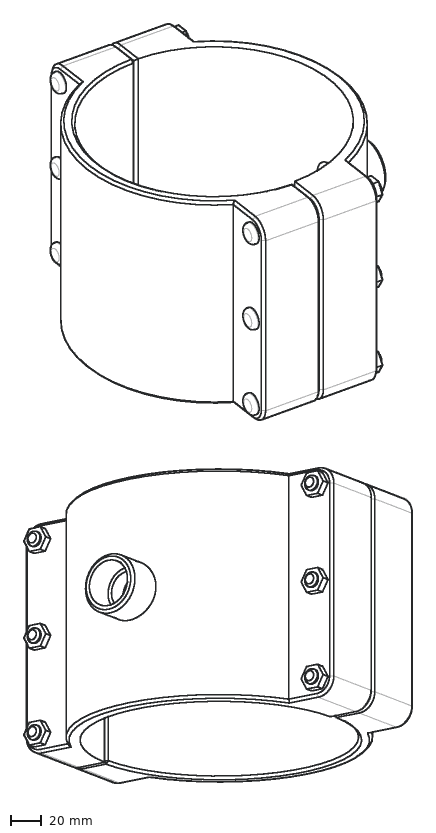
import cadquery as cq
import math

height = 154.0
ring_radius = 99.0
bore_radius = 90.0

half_width = 122.5
lug_depth = 45.0
lug_corner_radius = 12.2
edge_chamfer = 2.0

boss_diameter = 39.5
boss_end = 122.0
port_diameter = 25.0
counterbore_diameter = 30.5
counterbore_depth = 20.5

bolt_inset = 12.0
bolt_x = half_width - bolt_inset
bolt_z = height / 2 - bolt_inset
stud_diameter = 10.0
stud_projection = 8.3
stud_chamfer = 1.7
head_diameter = 15.0
head_height = 4.0
head_rounding = 3.0
nut_across_flats = 15.2
nut_height = 5.5

tolerance = 0.02


def y_cylinder(diameter, y_start, y_end, x=0, z=0):
    """Cylinder along +Y from y_start to y_end."""
    base = cq.Plane(origin=(x, y_start, z), xDir=(1, 0, 0), normal=(0, 1, 0))
    return cq.Workplane(base).circle(diameter / 2).extrude(y_end - y_start)


def half_shell_blank():
    """Half ring with lugs on the +Y side, with rounded lug corners and a plain bore."""
    ring = cq.Workplane("XY").circle(ring_radius).extrude(height / 2, both=True)
    lugs = cq.Workplane("XY").box(2 * half_width, 2 * lug_depth, height)
    lugs = lugs.edges("|Y").fillet(lug_corner_radius)
    bore = cq.Workplane("XY").circle(bore_radius).extrude(height, both=True)
    back = cq.Workplane("XY").box(
        2 * half_width, half_width, 2 * height, centered=(True, False, True)
    )
    return ring.union(lugs).intersect(back).cut(bore)


def is_outline_edge(edge):
    """True for the sharp edges around the parting faces and around the outside of the shell."""
    box = edge.BoundingBox()
    on_parting_face = box.ymax < tolerance
    on_lug_face = abs(box.ymin - lug_depth) < tolerance and box.ylen < tolerance
    center = edge.Center()
    at_ring_corner = box.zlen > height - tolerance
    on_end_face = box.zlen < tolerance and abs(abs(center.z) - height / 2) < tolerance
    on_ring = on_end_face and edge.geomType() == "CIRCLE" and edge.radius() > ring_radius - tolerance
    return on_parting_face or (on_lug_face and not at_ring_corner) or on_ring


def is_bore_rim(edge):
    """True for the two arcs where the bore meets the end faces."""
    return edge.geomType() == "CIRCLE" and abs(edge.radius() - bore_radius) < tolerance


def half_shell(chamfered_bore):
    """Half shell on the +Y side, its outer edges chamfered and its bore rim too if asked."""
    blank = half_shell_blank()
    edges = [
        edge
        for edge in blank.edges().vals()
        if is_outline_edge(edge) or (chamfered_bore and is_bore_rim(edge))
    ]
    return blank.newObject(edges).chamfer(edge_chamfer)


def add_port(body):
    """Boss on the +Y side with a counterbored port opening into the bore."""
    boss = y_cylinder(boss_diameter, (bore_radius + ring_radius) / 2, boss_end)
    boss = boss.faces(">Y").edges().chamfer(edge_chamfer)
    port = y_cylinder(port_diameter, 0, boss_end)
    counterbore = y_cylinder(counterbore_diameter, boss_end - counterbore_depth, boss_end)
    return body.union(boss).cut(port).cut(counterbore)


def bolt(x, z):
    """Bolt through both lugs: domed head on -Y, hex nut and stud end on +Y."""
    head = y_cylinder(head_diameter, -lug_depth - head_height, 0, x, z)
    head = head.faces("<Y").edges().fillet(head_rounding)
    stud = y_cylinder(stud_diameter, 0, lug_depth + stud_projection, x, z)
    stud = stud.faces(">Y").edges().chamfer(stud_chamfer)
    nut_plane = cq.Plane(origin=(x, 0, z), xDir=(1, 0, 0), normal=(0, 1, 0))
    nut_across_corners = nut_across_flats / math.cos(math.pi / 6)
    nut = cq.Workplane(nut_plane).polygon(6, nut_across_corners).extrude(lug_depth + nut_height)
    return head.union(stud).union(nut)


front_half = half_shell(chamfered_bore=True).mirror("XZ")
back_half = half_shell(chamfered_bore=False)
result = add_port(front_half.union(back_half))
for x in (-bolt_x, bolt_x):
    for z in (-bolt_z, 0, bolt_z):
        result = result.union(bolt(x, z))